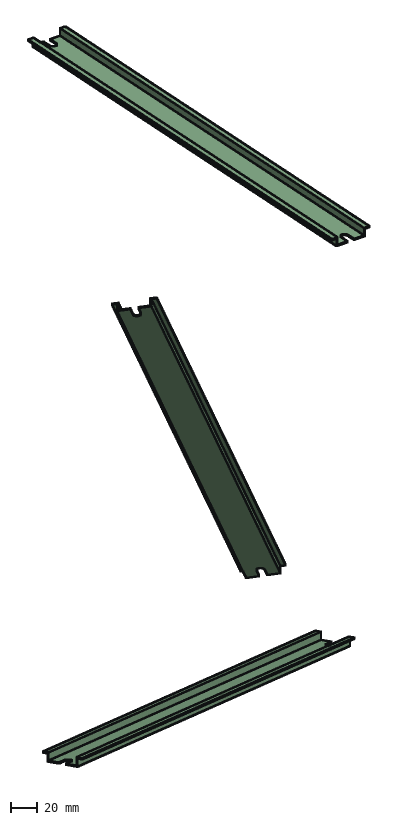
import cadquery as cq

length = 391.0
overall_width = 35.0
height = 7.5
thickness = 1.0
channel_width = 27.0

slot_width = 6.3
slot_depth = 11.0

half_width = overall_width / 2
half_channel = channel_width / 2
half_inside = half_channel - thickness


def make_rail():
    """Extrude the hat section: a floor, two webs and two outward flanges."""
    section = (
        cq.Workplane("YZ", origin=(-length / 2, 0, 0))
        .moveTo(-half_channel, 0)
        .lineTo(half_channel, 0)
        .lineTo(half_channel, height - thickness)
        .lineTo(half_width, height - thickness)
        .lineTo(half_width, height)
        .lineTo(half_inside, height)
        .lineTo(half_inside, thickness)
        .lineTo(-half_inside, thickness)
        .lineTo(-half_inside, height)
        .lineTo(-half_width, height)
        .lineTo(-half_width, height - thickness)
        .lineTo(-half_channel, height - thickness)
        .close()
    )
    return section.extrude(length)


def make_end_slots():
    """Round-ended slots centred on the rail ends, so half of each cuts the floor."""
    return (
        cq.Workplane("XY")
        .pushPoints([(-length / 2, 0), (length / 2, 0)])
        .slot2D(2 * slot_depth, slot_width)
        .extrude(thickness)
    )


result = make_rail().cut(make_end_slots())